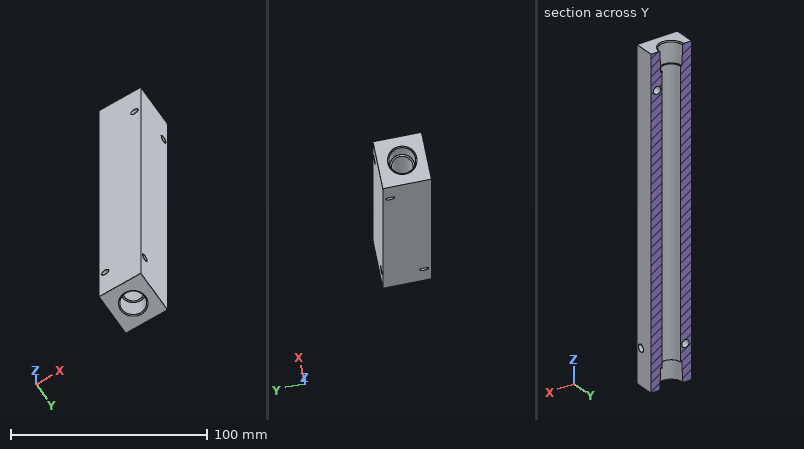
import cadquery as cq

length = 196.8
width = 25.4

bore_diameter = 11.0
socket_diameter = 13.8
socket_depth = 12.5
socket_taper = 1 / 16
mouth_chamfer = 0.5

cross_hole_diameter = 4.3
cross_hole_offset = 8.9
cross_hole_end_distance = 22.2


def make_bore():
    """Revolved cutter for the through bore, its tapered sockets and their chamfers."""
    bore_radius = bore_diameter / 2
    socket_radius = socket_diameter / 2
    socket_bottom_radius = socket_radius - socket_taper * socket_depth / 2
    chamfer_radius = socket_radius - socket_taper * mouth_chamfer / 2
    mouth_radius = socket_radius + mouth_chamfer
    half_length = length / 2
    socket_z = half_length - socket_depth
    chamfer_z = half_length - mouth_chamfer
    return (
        cq.Workplane("XZ")
        .moveTo(0, -half_length)
        .lineTo(mouth_radius, -half_length)
        .lineTo(chamfer_radius, -chamfer_z)
        .lineTo(socket_bottom_radius, -socket_z)
        .lineTo(bore_radius, -socket_z)
        .lineTo(bore_radius, socket_z)
        .lineTo(socket_bottom_radius, socket_z)
        .lineTo(chamfer_radius, chamfer_z)
        .lineTo(mouth_radius, half_length)
        .lineTo(0, half_length)
        .close()
        .revolve(360, (0, 0, 0), (0, 1, 0))
    )


def make_cross_holes(plane):
    """Two through holes: one high on the positive side, one low on the negative side."""
    hole_z = length / 2 - cross_hole_end_distance
    return (
        cq.Workplane(plane)
        .pushPoints([(cross_hole_offset, hole_z), (-cross_hole_offset, -hole_z)])
        .circle(cross_hole_diameter / 2)
        .extrude(width, both=True)
    )


bar = cq.Workplane("XY").box(width, width, length)
bar = bar.cut(make_bore())
for plane in ("XZ", "YZ"):
    bar = bar.cut(make_cross_holes(plane))

result = bar